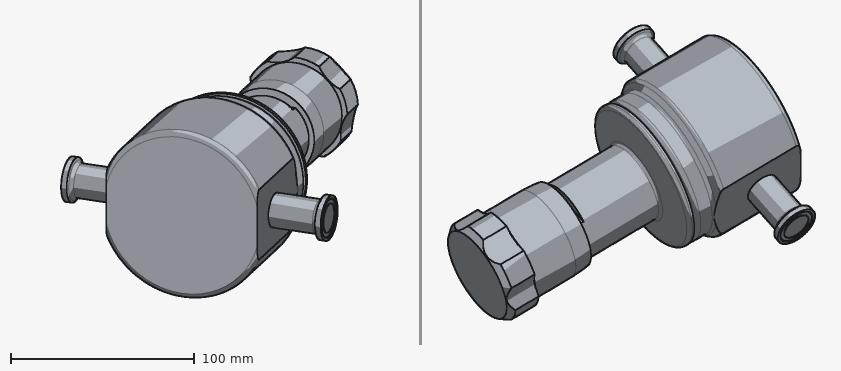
import cadquery as cq
import math

overall_length = 185.5

body_diameter = 97.8
body_radius = body_diameter / 2
flat_half_width = 44.4
body_end_fillet = 3.2
shoulder_y = 53.5
shoulder_fillet = 3.3

cap_radius = 44.2
cap_end_y = 70.5
cap_fillet = 3.2
gap_radius = 37.0
gap_width = 1.0

flange_front_y = cap_end_y + gap_width
flange_rim_end_y = 75.0
flange_rim_fillet = 2.5
stem_radius = 23.2
stem_start_y = 79.0
stem_root_fillet = 1.9
neck_half_height = 17.5
neck_start_y = 125.0

knob_start_y = 128.0
skirt_radius = 26.4
skirt_length = 11.1
barrel_radius = 27.3
grip_start_y = 166.3
grip_radius = 30.5
grip_end_radius = 27.3
grip_chamfer_length = 3.7
scallop_count = 6
scallop_first_angle = 17.0
scallop_radius = 22.3
scallop_bottom_radius = 27.6

port_y = 26.0
port_span = 152.4
port_end_x = port_span / 2
port_radius = 9.6
ferrule_radius = 12.6
ferrule_rim_length = 3.3
ferrule_back_angle = 20.0
ferrule_root_fillet = 2.5
gasket_inner_radius = 8.2
gasket_outer_radius = 11.0
gasket_floor_radius = 10.5
gasket_depth = 0.4


def cylinder_y(radius, y_start, y_end):
    """Cylinder on the Y axis."""
    return cq.Workplane("XZ", origin=(0, y_start, 0)).circle(radius).extrude(y_start - y_end)


def turned(profile):
    """Solid turned about the Y axis from (radius, y) corner points."""
    return cq.Workplane("XY").polyline(profile).close().revolve(360, (0, 0, 0), (0, 1, 0))


def fillet_circle(solid, y, radius, size):
    """Round the circular edges of the given radius, centred on the Y axis at height y."""
    tolerance = 0.02
    reach = radius + tolerance
    rim = cq.selectors.BoxSelector(
        (-reach, y - tolerance, -reach), (reach, y + tolerance, reach), boundingbox=True
    )
    return solid.edges(rim).edges("%CIRCLE").edges(cq.selectors.RadiusNthSelector(-1)).fillet(size)


def make_body():
    """Round body with a 45 degree shoulder down to the cap ring, cut by two side flats."""
    shoulder_end_y = shoulder_y + body_radius - cap_radius
    solid = turned([
        (0, 0),
        (body_radius, 0),
        (body_radius, shoulder_y),
        (cap_radius, shoulder_end_y),
        (cap_radius, cap_end_y),
        (0, cap_end_y),
    ])
    solid = fillet_circle(solid, 0, body_radius, body_end_fillet)
    solid = fillet_circle(solid, shoulder_y, body_radius, shoulder_fillet)
    solid = fillet_circle(solid, shoulder_end_y, cap_radius, shoulder_fillet)
    solid = fillet_circle(solid, cap_end_y, cap_radius, cap_fillet)
    between_flats = cq.Workplane("XY").box(
        2 * flat_half_width, 2 * overall_length, 2 * overall_length
    )
    return solid.intersect(between_flats)


def make_flange_and_stem():
    """Coned flange running into the stem, with two flats on the neck below the knob."""
    solid = turned([
        (0, flange_front_y),
        (cap_radius, flange_front_y),
        (cap_radius, flange_rim_end_y),
        (stem_radius, stem_start_y),
        (stem_radius, knob_start_y),
        (0, knob_start_y),
    ])
    solid = fillet_circle(solid, flange_rim_end_y, cap_radius, flange_rim_fillet)
    solid = fillet_circle(solid, stem_start_y, stem_radius, stem_root_fillet)

    neck_length = knob_start_y - neck_start_y
    cut_height = stem_radius - neck_half_height
    for side in (-1, 1):
        cut = cq.Workplane("XY").box(2 * stem_radius, neck_length, cut_height).translate(
            (0, neck_start_y + neck_length / 2, side * (neck_half_height + cut_height / 2))
        )
        solid = solid.cut(cut)
    return solid


def make_knob():
    """Knob with a skirt that curves into the barrel, and a chamfered grip with scallops."""
    skirt_end_y = knob_start_y + skirt_length
    barrel = (
        cq.Workplane("XY")
        .moveTo(0, grip_start_y)
        .lineTo(barrel_radius, grip_start_y)
        .lineTo(barrel_radius, skirt_end_y)
        .tangentArcPoint((skirt_radius, knob_start_y), relative=False)
        .lineTo(0, knob_start_y)
        .close()
        .revolve(360, (0, 0, 0), (0, 1, 0))
    )
    grip = turned([
        (0, grip_start_y),
        (grip_radius, grip_start_y),
        (grip_radius, overall_length - grip_chamfer_length),
        (grip_end_radius, overall_length),
        (0, overall_length),
    ])
    scallop = cylinder_y(scallop_radius, grip_start_y, overall_length).translate(
        (0, 0, scallop_bottom_radius + scallop_radius)
    )
    for index in range(scallop_count):
        angle = scallop_first_angle + index * 360 / scallop_count
        grip = grip.cut(scallop.rotate((0, 0, 0), (0, 1, 0), -angle))
    return barrel.union(grip)


def make_port():
    """Port on the +X side: closed tube with a clamp ferrule and a shallow gasket groove."""
    rim_back_x = port_end_x - ferrule_rim_length
    back_angle = math.radians(ferrule_back_angle)
    root_x = rim_back_x - (ferrule_radius - port_radius) * math.tan(back_angle)

    tangent_length = ferrule_root_fillet * math.tan((math.pi / 2 - back_angle) / 2)
    fillet_top = (
        root_x + tangent_length * math.sin(back_angle),
        port_radius + tangent_length * math.cos(back_angle),
    )
    fillet_end = (root_x - tangent_length, port_radius)

    groove_floor_x = port_end_x - gasket_depth
    port = (
        cq.Workplane("XY")
        .lineTo(port_end_x, 0)
        .lineTo(port_end_x, gasket_inner_radius)
        .lineTo(groove_floor_x, gasket_inner_radius)
        .lineTo(groove_floor_x, gasket_floor_radius)
        .lineTo(port_end_x, gasket_outer_radius)
        .lineTo(port_end_x, ferrule_radius)
        .lineTo(rim_back_x, ferrule_radius)
        .lineTo(*fillet_top)
        .tangentArcPoint(fillet_end, relative=False)
        .lineTo(0, port_radius)
        .close()
        .revolve(360, (0, 0, 0), (1, 0, 0))
    )
    return port.translate((0, port_y, 0))


port = make_port()
gap_core = cylinder_y(gap_radius, cap_end_y, flange_front_y)

result = (
    make_body()
    .union(gap_core)
    .union(make_flange_and_stem())
    .union(make_knob())
    .union(port)
    .union(port.mirror("YZ"))
)